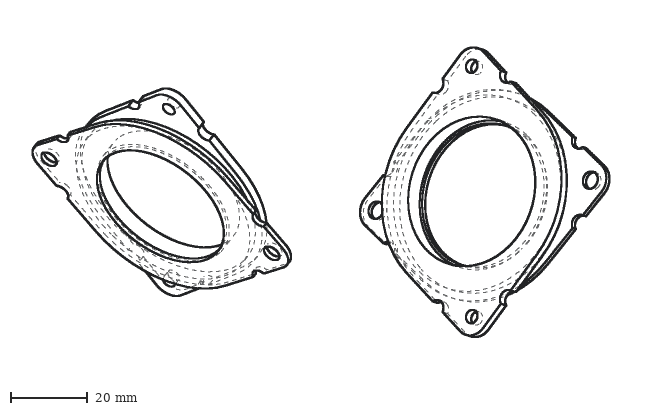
import cadquery as cq
import math

overall_span = 76.7
overall_depth = 7.0
front_thickness = 1.5
back_thickness = 2.5
disc_radius = 28.0
hub_radius = 26.0
bore_radius = 19.0
rear_bore_radius = 19.8
ear_radius = 5.0
front_hole_radius = 2.3
back_hole_radius = 1.8
notch_radius = 2.3
notch_along = 29.9
notch_across = 11.1

ear_offset = overall_span / 2 - ear_radius
hub_thickness = overall_depth - front_thickness - back_thickness
tangent_cos = (disc_radius - ear_radius) / ear_offset
tangent_sin = math.sqrt(1 - tangent_cos**2)


def y_cylinder(radius, length, x=0, z=0):
    """Cylinder along +Y, starting at Y = 0."""
    base = cq.Workplane("XZ", origin=(x, 0, z))
    return base.circle(radius).extrude(-length)


def flange(thickness, hole_radius):
    """Disc with two opposite ears along X, joined to it by common tangent lines."""
    disc_x = disc_radius * tangent_cos
    disc_z = disc_radius * tangent_sin
    ear_x = ear_offset + ear_radius * tangent_cos
    ear_z = ear_radius * tangent_sin
    plate = (
        cq.Workplane("XZ")
        .moveTo(disc_x, disc_z)
        .lineTo(ear_x, ear_z)
        .threePointArc((overall_span / 2, 0), (ear_x, -ear_z))
        .lineTo(disc_x, -disc_z)
        .threePointArc((0, -disc_radius), (-disc_x, -disc_z))
        .lineTo(-ear_x, -ear_z)
        .threePointArc((-overall_span / 2, 0), (-ear_x, ear_z))
        .lineTo(-disc_x, disc_z)
        .threePointArc((0, disc_radius), (disc_x, disc_z))
        .close()
        .extrude(-thickness)
    )
    for side in (-1, 1):
        plate = plate.cut(y_cylinder(hole_radius, thickness, side * ear_offset))
        for edge in (-1, 1):
            notch = y_cylinder(notch_radius, thickness, side * notch_along, edge * notch_across)
            plate = plate.cut(notch)
    return plate


front_flange = flange(front_thickness, front_hole_radius)
hub = y_cylinder(hub_radius, hub_thickness).translate((0, front_thickness, 0))
back_flange = (
    flange(back_thickness, back_hole_radius)
    .rotate((0, 0, 0), (0, 1, 0), 90)
    .translate((0, front_thickness + hub_thickness, 0))
)

stack = front_flange.union(hub).union(back_flange)
bore = y_cylinder(bore_radius, overall_depth)
rear_bore = y_cylinder(rear_bore_radius, overall_depth - front_thickness)
result = stack.cut(bore).cut(rear_bore.translate((0, front_thickness, 0)))